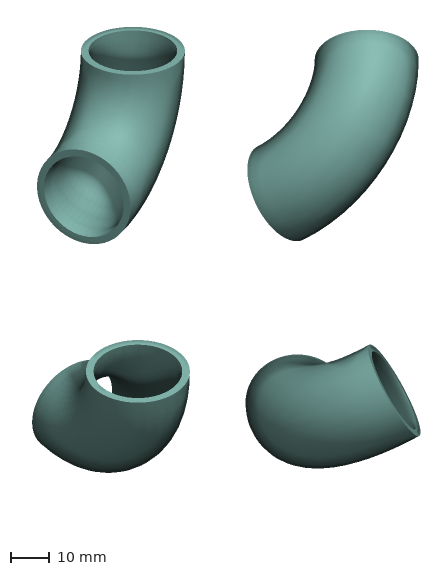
import cadquery as cq

overall_reach = 42.45
outer_diameter = 26.9
wall_thickness = 2.0
bend_angle = 90.0

outer_radius = outer_diameter / 2
inner_radius = outer_radius - wall_thickness
bend_radius = overall_reach - outer_radius

pipe_section = (
    cq.Workplane("XY")
    .center(0, bend_radius)
    .circle(outer_radius)
    .circle(inner_radius)
)

result = pipe_section.revolve(
    bend_angle,
    axisStart=(0, -bend_radius, 0),
    axisEnd=(-1, -bend_radius, 0),
)